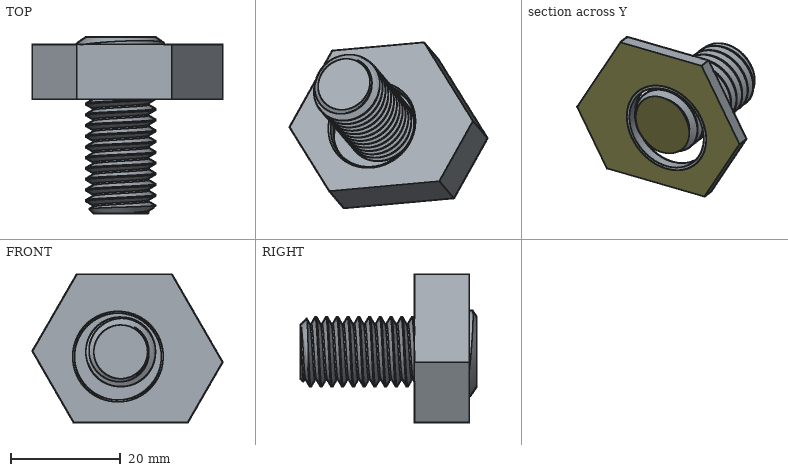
import cadquery as cq
import math


washer_thickness = 10.0
flat_count = 6
nearest_flat = 12.0
flat_step = 1.0
bore_radius = 8.42
lip_radius = 7.9
lip_depth = 2.4
lip_chamfer = 0.35

eccentricity = 1.0
eccentric_angle = 60
head_face_depth = 4.7
head_rise = 1.35
dome_radius = 12.68
thread_radius = 6.35
screw_reach = 20.8
tip_chamfer = 1.45
counted_turns = 10
counted_turns_length = 19.55
thread_pitch = counted_turns_length / counted_turns
thread_depth = 1.2
groove_root_width = 0.3
flank_angle = 30
groove_overshoot = 0.05
groove_start = 0.83

axis_x = eccentricity * math.cos(math.radians(eccentric_angle))
axis_z = eccentricity * math.sin(math.radians(eccentric_angle))


def plane_at(reach):
    """Sketch plane facing -Y at the given reach in front of the washer's front face."""
    return cq.Workplane("XZ", origin=(0, -reach, 0))


def uneven_hexagon():
    """Corners of a hexagon with equal angles whose flats step outward one after another."""
    flats = []
    for i in range(flat_count):
        angle = math.radians(270 - 360 / flat_count * i)
        flats.append((angle, nearest_flat + i * flat_step))
    corners = []
    for i in range(flat_count):
        angle_a, distance_a = flats[i - 1]
        angle_b, distance_b = flats[i]
        turn = math.sin(angle_b - angle_a)
        x = (distance_a * math.sin(angle_b) - distance_b * math.sin(angle_a)) / turn
        z = (distance_b * math.cos(angle_a) - distance_a * math.cos(angle_b)) / turn
        corners.append((x, z))
    return corners


def make_washer():
    rear = plane_at(-washer_thickness)
    plate = rear.polyline(uneven_hexagon()).close().extrude(washer_thickness)
    bore = rear.circle(bore_radius).extrude(washer_thickness - lip_depth)
    lip_hole = rear.circle(lip_radius).extrude(washer_thickness)
    mouth = cq.Workplane(cq.Solid.makeCone(
        lip_radius + lip_chamfer, lip_radius, lip_chamfer, cq.Vector(0, 0, 0), cq.Vector(0, 1, 0)))
    return plate.cut(bore).cut(lip_hole).cut(mouth)


def make_head():
    """Eccentric cylinder whose rear end is cut to a dome centred on the thread axis."""
    rear_depth = washer_thickness + head_rise
    cylinder = plane_at(-rear_depth).circle(bore_radius).extrude(rear_depth - head_face_depth)
    centre_depth = rear_depth - math.sqrt(dome_radius**2 - thread_radius**2)
    dome = cq.Workplane("XY", origin=(axis_x, centre_depth, axis_z)).sphere(dome_radius)
    return cylinder.intersect(dome)


def cylinder_along_z(start, end):
    """Cylinder of the thread's outer size around the local Z axis."""
    return cq.Workplane("XY", origin=(0, 0, start)).circle(thread_radius).extrude(end - start)


def make_groove(start, end):
    """Helical V groove around the local Z axis, cut with its root at the thread's core."""
    root = thread_radius - thread_depth
    outside = thread_radius + groove_overshoot
    root_half = groove_root_width / 2
    outside_half = root_half + (outside - root) * math.tan(math.radians(flank_angle))
    helix = cq.Wire.makeHelix(thread_pitch, end - start, root, cq.Vector(0, 0, start))
    return (
        cq.Workplane("XZ")
        .polyline([
            (root, start - root_half),
            (outside, start - outside_half),
            (outside, start + outside_half),
            (root, start + root_half),
        ])
        .close()
        .sweep(cq.Workplane(helix), isFrenet=True)
    )


def make_shank():
    turns_behind = math.ceil(head_face_depth / thread_pitch) + 1
    groove_begin = groove_start - turns_behind * thread_pitch
    groove_end = screw_reach + thread_pitch
    spare_length = 2 * thread_pitch
    rod = cylinder_along_z(groove_begin - spare_length, groove_end + spare_length)
    threaded_rod = rod.cut(make_groove(groove_begin, groove_end))
    blank = cylinder_along_z(-head_face_depth, screw_reach).faces(">Z").chamfer(tip_chamfer)
    shank = threaded_rod.intersect(blank)
    return shank.rotate((0, 0, 0), (1, 0, 0), 90).translate((axis_x, 0, axis_z))


washer = make_washer()
cam_screw = make_head().union(make_shank())

result = cq.Compound.makeCompound([*washer.solids().vals(), *cam_screw.solids().vals()])